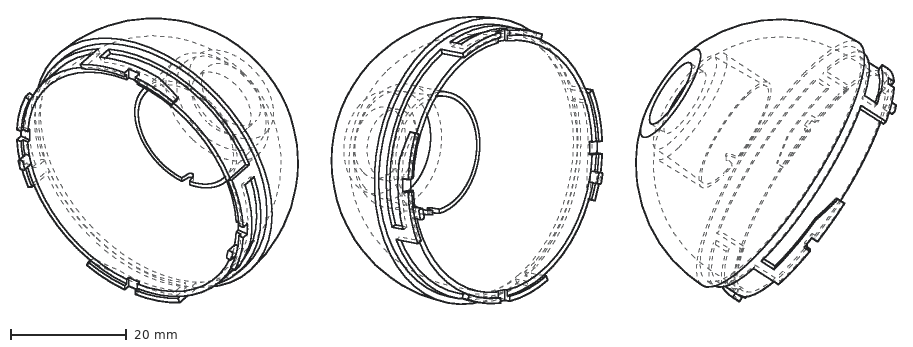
import cadquery as cq
import math


outer_radius = 25.0
wall = 3.0
inner_radius = outer_radius - wall
crown_y = 23.35
crown_hole_radius = 6.25

collar_radius = 23.9
neck_radius = 23.0
collar_depth = 1.8
neck_depth = 6.5

tube_mouth_y = 9.7
tube_mouth_radius = 10.75
tube_root_radius = 10.85
bore_mouth_radius = 10.0
bore_floor_radius = 9.45
bore_floor_y = crown_y - wall

rim_slot_mouth_width = 1.65
rim_slot_width = 1.05
rim_slot_taper_depth = 1.4

tab_count = 4
tab_depth = 7.1
tab_root_angle = 26.0
tab_tip_angle = -22.5
groove_end_angle = 20.0
groove_depth = 4.5
ramp_start_angle = -10.0
ramp_tip_depth = 5.7
lowered_rail_angle = 12.7
lowered_rail_drop = 0.125
notch_width = 2.25
notch_top_depth = 5.85

pin_depth = 8.45
pin_length = 2.0
pin_corner = 0.35
pin_angle = 12.8


def at_depth(depth):
    """Workplane across the axis, facing -Y, at a depth below the shoulder."""
    return cq.Workplane("XZ", origin=(0, -depth, 0))


def polar(radius, angle):
    """Point at an angle given in degrees."""
    turn = math.radians(angle)
    return radius * math.cos(turn), radius * math.sin(turn)


def ring_sector(start_angle, end_angle, top, bottom):
    """Sector from the neck radius outwards; the angles are measured from +Z."""
    start = start_angle + 90
    end = end_angle + 90
    middle = (start + end) / 2
    return (
        at_depth(top)
        .moveTo(*polar(neck_radius, start))
        .lineTo(*polar(outer_radius, start))
        .threePointArc(polar(outer_radius, middle), polar(outer_radius, end))
        .lineTo(*polar(neck_radius, end))
        .threePointArc(polar(neck_radius, middle), polar(neck_radius, start))
        .close()
        .extrude(bottom - top)
    )


def make_shell():
    """Dome, neck, tube, crown hole and an unbroken tab ring as one revolved section."""
    crown_radius = math.sqrt(outer_radius**2 - crown_y**2)
    outer_middle = polar(outer_radius, math.degrees(math.asin(crown_y / outer_radius)) / 2)

    root_angle = math.degrees(math.acos(tube_root_radius / inner_radius))

    section = (
        cq.Workplane("XY")
        .moveTo(crown_hole_radius, crown_y)
        .lineTo(crown_radius, crown_y)
        .threePointArc(outer_middle, (outer_radius, 0))
        .lineTo(collar_radius, 0)
        .lineTo(collar_radius, -tab_depth)
        .lineTo(neck_radius, -tab_depth)
        .lineTo(neck_radius, -neck_depth)
        .lineTo(inner_radius, -neck_depth)
        .lineTo(inner_radius, 0)
        .threePointArc(polar(inner_radius, root_angle / 2), polar(inner_radius, root_angle))
        .lineTo(tube_mouth_radius, tube_mouth_y)
        .lineTo(bore_mouth_radius, tube_mouth_y)
        .lineTo(bore_floor_radius, bore_floor_y)
        .lineTo(crown_hole_radius, bore_floor_y)
        .close()
    )
    return section.revolve(360, (0, 0, 0), (0, 1, 0))


def make_gap():
    """Cutter for the free stretch of neck between the +Z tab's tip and the next tab's root."""
    next_root_angle = tab_root_angle - 360 / tab_count
    return ring_sector(tab_tip_angle, next_root_angle, collar_depth, tab_depth)


def make_groove(end_angle, drop):
    """Cutter for the groove above the +Z tab's rail, open at the tip where the rail slopes down.

    The groove starts at end_angle, and drop lowers the whole rail.
    """
    ramp_start_x = collar_radius * math.sin(math.radians(-ramp_start_angle))
    ramp_tip_x = collar_radius * math.sin(math.radians(-tab_tip_angle))
    rail_profile = (
        cq.Workplane("XY")
        .moveTo(-outer_radius, -collar_depth)
        .lineTo(-outer_radius, -groove_depth - drop)
        .lineTo(ramp_start_x, -groove_depth - drop)
        .lineTo(ramp_tip_x, -ramp_tip_depth - drop)
        .lineTo(ramp_tip_x, -collar_depth)
        .close()
        .extrude(outer_radius)
    )
    return rail_profile.intersect(ring_sector(end_angle, tab_tip_angle, collar_depth, tab_depth))


def make_notch():
    """Square notch through the middle of the +Z tab and the neck wall behind it."""
    return (
        at_depth(notch_top_depth)
        .center(0, (inner_radius + collar_radius) / 2)
        .rect(notch_width, wall)
        .extrude(tab_depth - notch_top_depth)
    )


def make_pin(angle):
    """Round-cornered pin that fills the neck wall thickness at an angle from +X."""
    return (
        at_depth(neck_depth)
        .center((inner_radius + neck_radius) / 2, 0)
        .rect(neck_radius - inner_radius, pin_length)
        .extrude(pin_depth - neck_depth)
        .edges("|Y")
        .fillet(pin_corner)
        .rotate((0, 0, 0), (0, -1, 0), angle)
    )


def make_rim_slot():
    """Cutter for the tapered, round-bottomed slot on the -Z side of the tube rim."""
    round_radius = rim_slot_width / 2
    round_y = tube_mouth_y + rim_slot_taper_depth
    return (
        cq.Workplane("XY")
        .moveTo(-rim_slot_mouth_width / 2, tube_mouth_y)
        .lineTo(-round_radius, round_y)
        .threePointArc((0, round_y + round_radius), (round_radius, round_y))
        .lineTo(rim_slot_mouth_width / 2, tube_mouth_y)
        .close()
        .extrude(-tube_root_radius)
    )


result = make_shell().cut(make_rim_slot())

tab_cutters = [make_gap(), make_groove(groove_end_angle, 0), make_notch()]
for index in range(tab_count):
    for cutter in tab_cutters:
        result = result.cut(cutter.rotate((0, 0, 0), (0, 1, 0), index * 360 / tab_count))

lowered_groove = make_groove(lowered_rail_angle, lowered_rail_drop)
result = result.cut(lowered_groove.rotate((0, 0, 0), (0, -1, 0), 90))

for angle in (-pin_angle, 180 + pin_angle):
    result = result.union(make_pin(angle))